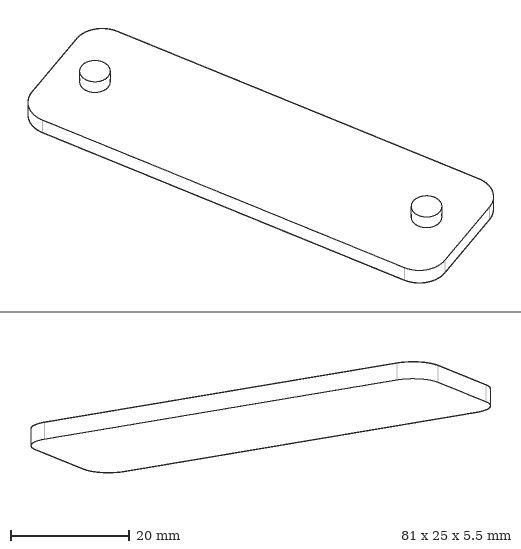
import cadquery as cq

plate_length = 81.0
plate_width = 25.0
plate_thickness = 3.0
corner_radius = 5.0

overall_height = 5.5
pin_height = overall_height - plate_thickness
pin_diameter = 5.2
pin_spacing = 65.05


def make_plate():
    """Flat plate with rounded vertical corners, resting on Z = 0."""
    return (
        cq.Workplane("XY")
        .rect(plate_length, plate_width)
        .extrude(plate_thickness)
        .edges("|Z")
        .fillet(corner_radius)
    )


def add_pins(plate):
    """Raise both round pins from the top face, on the long centreline."""
    half_spacing = pin_spacing / 2
    return (
        plate.faces(">Z")
        .workplane(origin=(0, 0, plate_thickness))
        .pushPoints([(-half_spacing, 0), (half_spacing, 0)])
        .circle(pin_diameter / 2)
        .extrude(pin_height)
    )


result = add_pins(make_plate())